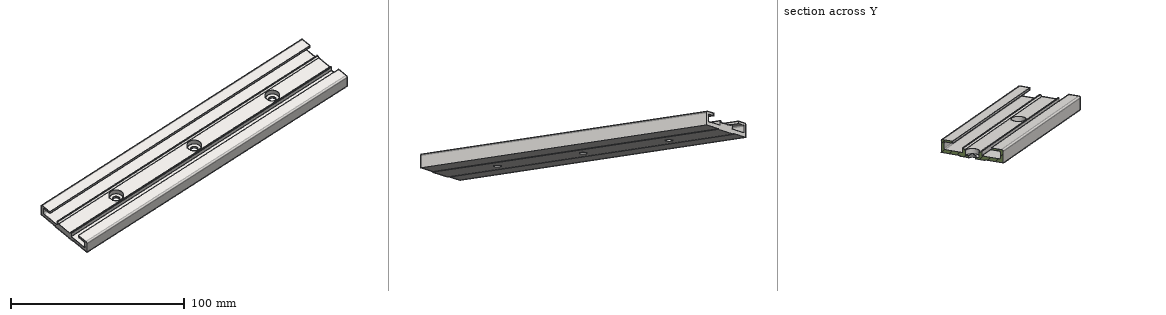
import cadquery as cq

LENGTH = 200.0
WIDTH = 40.0
HEIGHT = 8.7

FOOT_WIDTH = 16.0
FOOT_DEPTH = 0.4
FLOOR_Z = 2.8

WALL_THICKNESS = 2.0
LIP_GAP = 25.0
LIP_THICKNESS = 1.5
OUTER_RADIUS = 1.0
CHANNEL_RADIUS = 0.5

RAIL_WIDTH = 12.6
RAIL_TOP_Z = 4.6
RIDGE_TOP_Z = 5.5
RIDGE_CREST_WIDTH = 0.6
RIDGE_BASE_WIDTH = RIDGE_CREST_WIDTH + RIDGE_TOP_Z - RAIL_TOP_Z

HOLE_COUNT = 3
HOLE_SPACING = 60.0
HOLE_DIAMETER = 4.5
COUNTERBORE_DIAMETER = 8.5
COUNTERBORE_DEPTH = 3.2


def extrude_along_length(outline):
    """Extrude an XZ outline over the full length, centred on Y = 0."""
    return outline.extrude(LENGTH / 2, both=True)


def block(width, bottom, top):
    """Full-length bar centred on X = 0 between two heights."""
    outline = cq.Workplane("XZ").center(0, (bottom + top) / 2).rect(width, top - bottom)
    return extrude_along_length(outline)


def make_channel_body():
    """C-shaped body: base plate, side walls and inward lips."""
    body = block(WIDTH, FOOT_DEPTH, HEIGHT)
    body = body.edges("|Y and >Z").fillet(OUTER_RADIUS)
    cavity = block(WIDTH - 2 * WALL_THICKNESS, FLOOR_Z, HEIGHT - LIP_THICKNESS)
    cavity = cavity.edges("|Y").fillet(CHANNEL_RADIUS)
    lip_opening = block(LIP_GAP, FLOOR_Z, HEIGHT)
    return body.cut(cavity).cut(lip_opening)


def make_rail():
    """Central rail whose edge ridges slope down to its flat top."""
    edge = RAIL_WIDTH / 2
    crest = edge - RIDGE_CREST_WIDTH
    toe = edge - RIDGE_BASE_WIDTH
    outline = cq.Workplane("XZ").polyline([
        (-edge, FOOT_DEPTH),
        (edge, FOOT_DEPTH),
        (edge, RIDGE_TOP_Z),
        (crest, RIDGE_TOP_Z),
        (toe, RAIL_TOP_Z),
        (-toe, RAIL_TOP_Z),
        (-crest, RIDGE_TOP_Z),
        (-edge, RIDGE_TOP_Z),
    ]).close()
    return extrude_along_length(outline)


def drill_screw_holes(body):
    """Row of counterbored through holes, sunk from the rail top."""
    return (
        body.copyWorkplane(cq.Workplane("XY", origin=(0, 0, RAIL_TOP_Z)))
        .rarray(1, HOLE_SPACING, 1, HOLE_COUNT)
        .cboreHole(HOLE_DIAMETER, COUNTERBORE_DIAMETER, COUNTERBORE_DEPTH)
    )


foot = block(FOOT_WIDTH, 0, FLOOR_Z)
profile = make_channel_body().union(make_rail()).union(foot)
result = drill_screw_holes(profile)